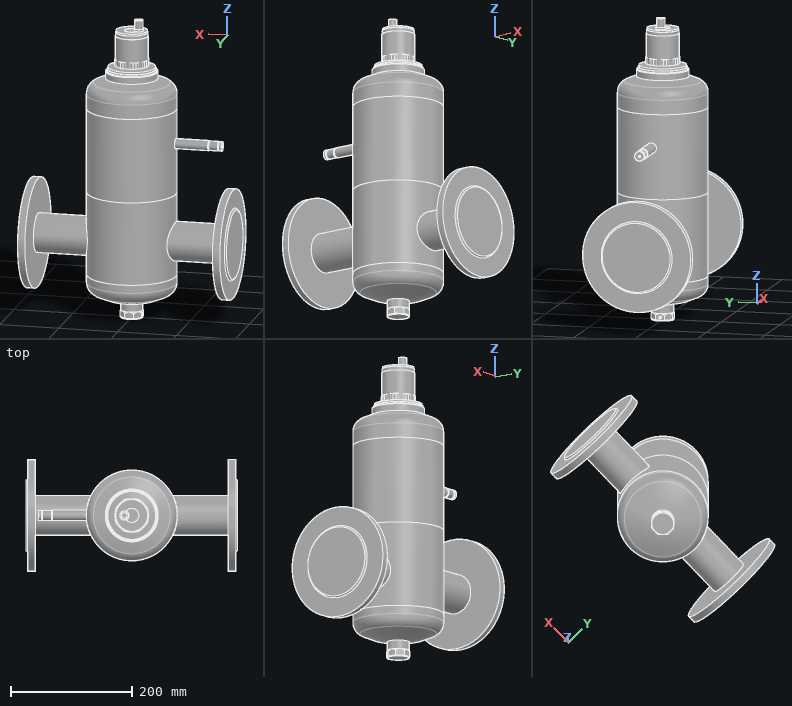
import cadquery as cq
import math


VESSEL_RADIUS = 75.0
KNUCKLE_RADIUS = 21.5
CROWN_RADIUS = 140.0
LOWER_SHELL_BOTTOM = -60.5
SHELL_JOINT = 80.5
UPPER_SHELL_TOP = 223.0
LOWER_HEAD_RIM = 13.5
UPPER_HEAD_RIM = 24.5

FACE_TO_FACE = 350.0
PIPE_RADIUS = 33.0
FLANGE_RADIUS = 92.5
FLANGE_THICKNESS = 12.5
RAISED_FACE_ROOT_RADIUS = 60.5
RAISED_FACE_RADIUS = 58.0
RAISED_FACE_HEIGHT = 3.0

COLLAR_RADIUS = 43.5
COLLAR_TOP = 287.0
COLLAR_CHAMFER = 1.0

VENT_BASE_RADIUS = 41.0
VENT_BASE_STEP_RADIUS = 39.5
VENT_BASE_STEP = 290.0
VENT_BASE_EDGE = 293.5
VENT_BARREL_BOTTOM = 296.0
VENT_BARREL_RADIUS = 27.5
VENT_CAP_BOTTOM = 346.5
VENT_CAP_RADIUS = 27.0
VENT_LID_BOTTOM = 352.5
VENT_LID_RADIUS = 26.5
VENT_TOP = 355.5
LID_RECESS_RADIUS = 11.5
LID_RECESS_DEPTH = 0.5
VENT_FLATS_TOP = 307.0
VENT_FLATS_CORNER_RADIUS = 28.5
VENT_FLATS_INSET = 0.25

SPOUT_OFFSET = -12.0
SPOUT_FOOT_RADIUS = 7.5
SPOUT_FOOT_TOP = 359.0
SPOUT_RADIUS = 7.0
SPOUT_TOP = 374.0
SPOUT_BORE_RADIUS = 4.5
SPOUT_BORE_DEPTH = 1.5

DRAIN_RADIUS = 18.5
DRAIN_BOTTOM = -134.0
DRAIN_RIM = 1.5
DRAIN_FLATS_TOP = -121.5
DRAIN_CHAMFER_SLOPE = 0.5
DRAIN_HOLE_RADIUS = 2.0
DRAIN_HOLE_DEPTH = 5.0
DRAIN_HOLE_Z = -128.0

PROBE_RADIUS = 8.5
PROBE_Z = 166.5
PROBE_TIP_X = -154.0
PROBE_TIP_RADIUS = 8.0
PROBE_TIP_LENGTH = 22.0
PROBE_GROOVES_X = (-149.5, -132.5)
GROOVE_WIDTH = 1.5
GROOVE_DEPTH = 0.5
PROBE_HOLE_RADIUS = 1.5
PROBE_HOLE_DEPTH = 5.0

WRENCH_SIDES = 8


def cylinder(radius, bottom, top):
    return cq.Workplane("XY").workplane(offset=bottom).circle(radius).extrude(top - bottom)


def rod(radius, start_x, length, height):
    """Cylinder running from start_x towards +X at the given height."""
    return cq.Workplane("YZ", origin=(start_x, 0, height)).circle(radius).extrude(length)


def octagon(apothem, bottom, top):
    """Eight-sided prism with flats facing along X and Y."""
    corner_diameter = 2 * apothem / math.cos(math.pi / WRENCH_SIDES)
    return (
        cq.Workplane("XY")
        .workplane(offset=bottom)
        .polygon(WRENCH_SIDES, corner_diameter)
        .extrude(top - bottom)
        .rotate((0, 0, 0), (0, 0, 1), 180 / WRENCH_SIDES)
    )


def dished_head(rim_height):
    """Torispherical head standing on Z = 0 and bulging towards +Z."""
    knuckle_center = VESSEL_RADIUS - KNUCKLE_RADIUS
    slope = math.asin(knuckle_center / (CROWN_RADIUS - KNUCKLE_RADIUS))
    crown_center = rim_height - (CROWN_RADIUS - KNUCKLE_RADIUS) * math.cos(slope)

    def on_knuckle(angle):
        return (
            knuckle_center + KNUCKLE_RADIUS * math.sin(angle),
            rim_height + KNUCKLE_RADIUS * math.cos(angle),
        )

    def on_crown(angle):
        return (
            CROWN_RADIUS * math.sin(angle),
            crown_center + CROWN_RADIUS * math.cos(angle),
        )

    return (
        cq.Workplane("XZ")
        .lineTo(VESSEL_RADIUS, 0)
        .lineTo(VESSEL_RADIUS, rim_height)
        .threePointArc(on_knuckle((slope + math.pi / 2) / 2), on_knuckle(slope))
        .threePointArc(on_crown(slope / 2), on_crown(0))
        .close()
        .revolve(360, (0, 0, 0), (0, 1, 0))
    )


def make_upper_head():
    return dished_head(UPPER_HEAD_RIM).translate((0, 0, UPPER_SHELL_TOP))


def make_lower_head():
    head = dished_head(LOWER_HEAD_RIM).rotate((0, 0, 0), (1, 0, 0), 180)
    return head.translate((0, 0, LOWER_SHELL_BOTTOM))


def make_nozzle(side):
    """Pipe stub with a blank raised-face flange; side is -1 or +1 along X."""
    face = FACE_TO_FACE / 2
    flange_front = face - RAISED_FACE_HEIGHT
    flange_back = flange_front - FLANGE_THICKNESS
    nozzle = (
        cq.Workplane("XY")
        .lineTo(0, PIPE_RADIUS)
        .lineTo(flange_back, PIPE_RADIUS)
        .lineTo(flange_back, FLANGE_RADIUS)
        .lineTo(flange_front, FLANGE_RADIUS)
        .lineTo(flange_front, RAISED_FACE_ROOT_RADIUS)
        .lineTo(face, RAISED_FACE_RADIUS)
        .lineTo(face, 0)
        .close()
        .revolve(360, (0, 0, 0), (1, 0, 0))
        .cut(cylinder(VESSEL_RADIUS, LOWER_SHELL_BOTTOM, SHELL_JOINT))
    )
    if side < 0:
        nozzle = nozzle.rotate((0, 0, 0), (0, 0, 1), 180)
    return nozzle


def make_collar(upper_head):
    ring = cylinder(COLLAR_RADIUS, UPPER_SHELL_TOP, COLLAR_TOP).faces(">Z").chamfer(COLLAR_CHAMFER)
    return ring.cut(upper_head)


def make_vent():
    base_and_barrel = (
        cq.Workplane("XZ")
        .moveTo(0, COLLAR_TOP)
        .lineTo(VENT_BASE_RADIUS, COLLAR_TOP)
        .lineTo(VENT_BASE_RADIUS, VENT_BASE_STEP)
        .lineTo(VENT_BASE_STEP_RADIUS, VENT_BASE_STEP)
        .lineTo(VENT_BASE_STEP_RADIUS, VENT_BASE_EDGE)
        .lineTo(VENT_FLATS_CORNER_RADIUS, VENT_BARREL_BOTTOM)
        .lineTo(VENT_BARREL_RADIUS, VENT_BARREL_BOTTOM)
        .lineTo(VENT_BARREL_RADIUS, VENT_CAP_BOTTOM)
        .lineTo(VENT_CAP_RADIUS, VENT_CAP_BOTTOM)
        .lineTo(VENT_CAP_RADIUS, VENT_LID_BOTTOM)
        .lineTo(VENT_LID_RADIUS, VENT_LID_BOTTOM)
        .lineTo(VENT_LID_RADIUS, VENT_TOP)
        .lineTo(0, VENT_TOP)
        .close()
        .revolve(360, (0, 0, 0), (0, 1, 0))
    )
    apothem = VENT_BARREL_RADIUS - VENT_FLATS_INSET
    wrench_flats = octagon(apothem, VENT_BARREL_BOTTOM, VENT_FLATS_TOP).intersect(
        cylinder(VENT_FLATS_CORNER_RADIUS, VENT_BARREL_BOTTOM, VENT_FLATS_TOP)
    )
    recess_floor = VENT_TOP - LID_RECESS_DEPTH
    lid_recess = cylinder(LID_RECESS_RADIUS, recess_floor, VENT_TOP)
    spout_foot = cylinder(SPOUT_FOOT_RADIUS, recess_floor, SPOUT_FOOT_TOP)
    spout_bore = cylinder(SPOUT_BORE_RADIUS, SPOUT_TOP - SPOUT_BORE_DEPTH, SPOUT_TOP)
    spout = cylinder(SPOUT_RADIUS, SPOUT_FOOT_TOP, SPOUT_TOP).cut(spout_bore).union(spout_foot)
    spout = spout.translate((SPOUT_OFFSET, 0, 0))
    return base_and_barrel.union(wrench_flats).cut(lid_recess).union(spout)


def make_drain(lower_head):
    socket = cylinder(DRAIN_RADIUS, DRAIN_BOTTOM, LOWER_SHELL_BOTTOM)
    flats_bottom = DRAIN_BOTTOM + DRAIN_RIM
    flats_height = DRAIN_FLATS_TOP - flats_bottom
    cone_bottom_radius = DRAIN_RADIUS + DRAIN_CHAMFER_SLOPE * flats_height
    corner_cone = cq.Workplane(
        cq.Solid.makeCone(cone_bottom_radius, DRAIN_RADIUS, flats_height, cq.Vector(0, 0, flats_bottom))
    )
    flats = octagon(DRAIN_RADIUS, flats_bottom, DRAIN_FLATS_TOP).intersect(corner_cone)
    hole = rod(DRAIN_HOLE_RADIUS, -DRAIN_RADIUS, DRAIN_HOLE_DEPTH, DRAIN_HOLE_Z)
    return socket.union(flats).cut(hole).cut(lower_head)


def make_probe():
    stem_start = PROBE_TIP_X + PROBE_TIP_LENGTH
    tip = rod(PROBE_TIP_RADIUS, PROBE_TIP_X, PROBE_TIP_LENGTH, PROBE_Z)
    probe = rod(PROBE_RADIUS, stem_start, -stem_start, PROBE_Z).union(tip)
    for groove_x in PROBE_GROOVES_X:
        groove = rod(PROBE_RADIUS, groove_x, GROOVE_WIDTH, PROBE_Z)
        groove_core = rod(PROBE_TIP_RADIUS - GROOVE_DEPTH, groove_x, GROOVE_WIDTH, PROBE_Z)
        probe = probe.cut(groove.cut(groove_core))
    probe = probe.cut(rod(PROBE_HOLE_RADIUS, PROBE_TIP_X, PROBE_HOLE_DEPTH, PROBE_Z))
    return probe.cut(cylinder(VESSEL_RADIUS, SHELL_JOINT, UPPER_SHELL_TOP))


lower_shell = cylinder(VESSEL_RADIUS, LOWER_SHELL_BOTTOM, SHELL_JOINT)
upper_shell = cylinder(VESSEL_RADIUS, SHELL_JOINT, UPPER_SHELL_TOP)
upper_head = make_upper_head()
lower_head = make_lower_head()
nozzles = [make_nozzle(side) for side in (-1, 1)]
collar = make_collar(upper_head)
vent = make_vent()
drain = make_drain(lower_head)
probe = make_probe()

result = cq.Compound.makeCompound(
    [
        lower_shell.val(),
        upper_shell.val(),
        upper_head.val(),
        lower_head.val(),
        *[nozzle.val() for nozzle in nozzles],
        collar.val(),
        vent.val(),
        drain.val(),
        probe.val(),
    ]
)